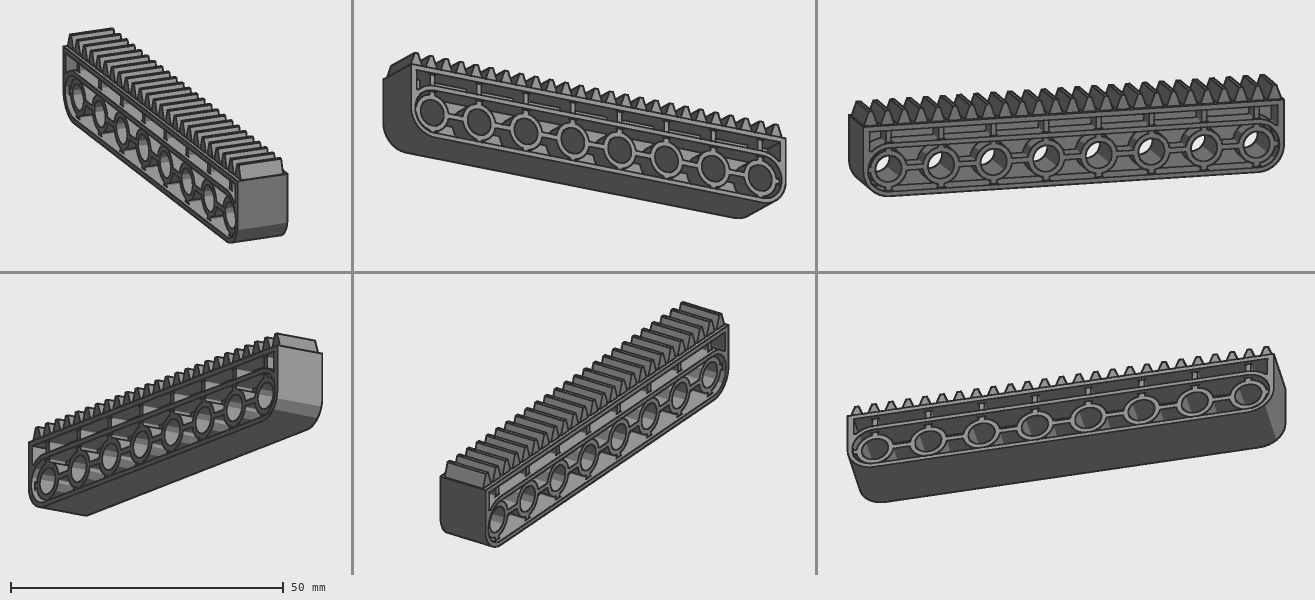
import cadquery as cq

pitch = 10.0
hole_count = 8
thickness = 10.0
total_height = 16.0
body_height = 13.4
hole_diameter = 5.0
tube_diameter = 7.0
wall = 1.0
end_wall = 1.2
beam_wall = 0.9
tube_rib = 1.1
pocket_depth = 4.5
rib_recess = 0.8
corner_radius = 0.28
tooth_count = 25
tooth_width = 8.5
tooth_base_half = 1.32
tooth_tip_half = 0.36

length = pitch * hole_count
beam_height = pitch
axis_z = beam_height / 2
end_radius = beam_height / 2
beam_inner_height = beam_height - 2 * beam_wall
hole_span = pitch * (hole_count - 1)
hole_positions = [i * pitch - hole_span / 2 for i in range(hole_count)]
tooth_pitch = length / tooth_count
tooth_height = total_height - body_height
front_y = -thickness / 2


def block(width, height, x, z, depth):
    """Rectangular block centred at (x, z), from the front face inwards."""
    return (
        cq.Workplane("XY")
        .box(width, depth, height)
        .translate((x, front_y + depth / 2, z))
    )


def round_ended(height, depth):
    """Round-ended block around the hole row, from the front face inwards."""
    return (
        cq.Workplane("XZ", origin=(0, front_y + depth, 0))
        .center(0, axis_z)
        .slot2D(hole_span + height, height)
        .extrude(depth)
    )


def cylinders(diameter, depth):
    """One cylinder on every hole axis, from the front face inwards."""
    return (
        cq.Workplane("XZ", origin=(0, front_y + depth, 0))
        .pushPoints([(x, axis_z) for x in hole_positions])
        .circle(diameter / 2)
        .extrude(depth)
    )


def make_body():
    """Solid bar with rounded lower corners."""
    bar = block(length, body_height, 0, body_height / 2, thickness)
    return bar.edges("|Y and <Z").fillet(end_radius)


def upper_outline(depth):
    """Space between the top wall, the end walls and the upper side of the beam."""
    height = body_height - wall - axis_z
    space = block(length - 2 * end_wall, height, 0, axis_z + height / 2, depth)
    return space.cut(round_ended(beam_height, depth))


def make_upper_pocket():
    """Pocket above the beam, split by recessed ribs over the holes.

    Its two outermost top corners stay sharp.
    """
    pocket = upper_outline(pocket_depth)
    for x in hole_positions:
        pocket = pocket.cut(block(wall, body_height, x, body_height / 2, pocket_depth))
    pocket = pocket.edges("|Y and (not ((<X or >X) and >Z))").fillet(corner_radius)
    opening = upper_outline(rib_recess)
    opening = opening.edges("|Y and (<X or >X) and (not >Z)").fillet(corner_radius)
    return pocket.union(opening)


def make_beam_pocket():
    """Pocket inside the beam around the recessed tubes, their ribs and the web."""
    pocket = round_ended(beam_inner_height, pocket_depth)
    pocket = pocket.cut(cylinders(tube_diameter, pocket_depth))
    pocket = pocket.cut(block(length, wall, 0, axis_z, pocket_depth))
    for x in hole_positions:
        pocket = pocket.cut(block(tube_rib, beam_height, x, axis_z, pocket_depth))
    pocket = pocket.edges("|Y").fillet(corner_radius)
    return pocket.union(round_ended(beam_inner_height, rib_recess))


def make_tooth(x):
    """One rack tooth with straight flanks and a flat tip."""
    return (
        cq.Workplane("XZ", origin=(x, tooth_width / 2, body_height))
        .moveTo(-tooth_base_half, 0)
        .lineTo(-tooth_tip_half, tooth_height)
        .lineTo(tooth_tip_half, tooth_height)
        .lineTo(tooth_base_half, 0)
        .close()
        .extrude(tooth_width)
    )


body = make_body()
for pocket in (make_upper_pocket(), make_beam_pocket()):
    body = body.cut(pocket).cut(pocket.mirror("XZ"))
body = body.cut(cylinders(hole_diameter, thickness))

for i in range(tooth_count):
    body = body.union(make_tooth((i - (tooth_count - 1) / 2) * tooth_pitch))

result = body